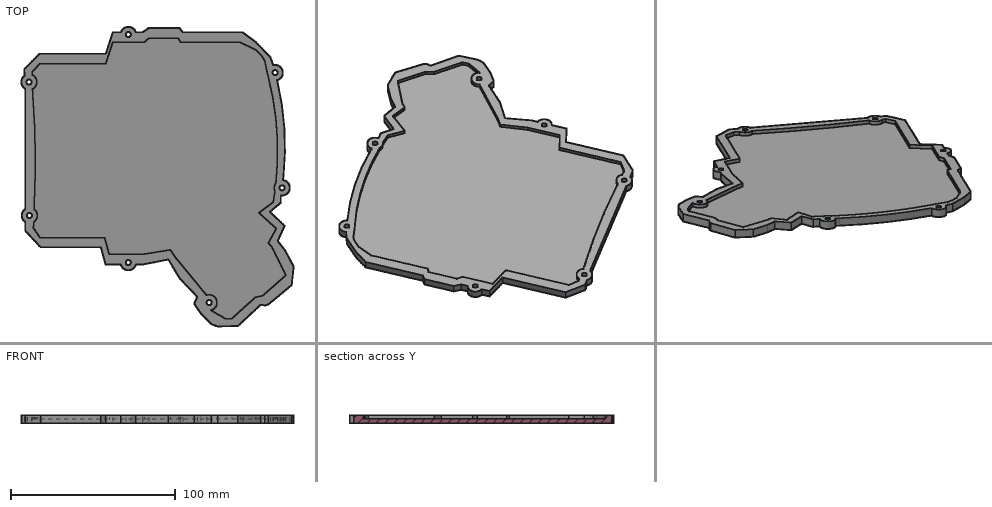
import cadquery as cq

plan_width = 165.67
plan_length = 182.23
thickness = 5.0
pocket_depth = 2.2
screw_hole_diameter = 3.0
lug_diameter = 9.5

left_end = -plan_width / 2
right_end = plan_width / 2
rear_end = plan_length / 2
front_end = -plan_length / 2
floor_thickness = thickness - pocket_depth

screw_points = [
    (-17.7, rear_end - lug_diameter / 2),
    (left_end + lug_diameter / 2, 57.5),
    (-77.8, -23.6),
    (-17.7, -52.2),
    (31.4, -76.5),
    (75.7, -6.8),
    (71.5, 63.2),
]

outer_rear_edge = [
    (-81.0, 65.3),
    (-71.6, 74.8),
    (-31.4, 74.8),
    (-27.2, 87.8),
    (-9.1, 87.8),
    (-5.3, 90.4),
    (13.4, 90.4),
    (15.3, 87.8),
    (51.7, 87.8),
    (59.4, 82.1),
    (68.6, 72.7),
    (70.9, 66.5),
    (72.8, 58.4),
]
outer_right_bow_middle = (77.0, 32.0)
outer_right_bow_end = (76.6, 0.0)
outer_notch = [
    (75.0, -11.0),
    (75.0, -15.8),
    (68.4, -21.4),
    (77.3, -29.9),
    (73.1, -39.1),
]
outer_front_right_arm = [
    (77.6, -44.8),
    (right_end, -54.7),
    (81.6, -65.9),
    (67.4, -77.7),
    (65.3, -78.4),
    (62.8, -77.8),
    (48.9, -90.8),
    (36.5, front_end),
    (32.7, -89.7),
    (26.4, -83.3),
    (22.2, -77.2),
    (24.1, -73.0),
    (13.4, -61.8),
    (6.6, -50.4),
]
outer_front_left_edge = [
    (-9.2, -53.5),
    (-31.6, -53.5),
    (-34.5, -42.9),
    (-71.1, -42.9),
    (-80.4, -32.9),
    (-80.4, 57.5),
    (-81.0, 63.5),
]

inner_rear_edge = [
    (-76.0, 63.8),
    (-71.7, 68.5),
    (-31.5, 68.5),
    (-27.2, 81.6),
    (-8.2, 81.6),
    (-5.2, 84.1),
    (12.7, 84.1),
    (14.0, 81.6),
    (50.3, 81.6),
    (59.7, 77.1),
    (63.1, 73.7),
    (65.2, 70.3),
    (66.7, 63.0),
]
inner_right_bow_middle = (72.7, 26.0)
inner_right_bow_end = (70.3, -15.5)
inner_notch = [
    (61.6, -22.0),
    (72.2, -31.5),
    (67.4, -40.3),
]
inner_front_right_arm = [
    (69.5, -42.7),
    (78.0, -59.9),
    (64.0, -72.3),
    (59.4, -73.4),
    (45.2, -86.2),
    (41.4, -86.4),
    (32.3, -81.1),
    (29.5, -71.7),
    (10.7, -48.8),
    (7.8, -44.5),
]
inner_front_left_edge = [
    (-8.5, -47.1),
    (-29.4, -47.1),
    (-32.1, -37.2),
    (-71.3, -37.2),
    (-75.4, -31.2),
    (-75.0, -20.0),
]
inner_left_bow_middle = (-74.2, 8.0)
inner_left_bow_end = (-76.0, 53.0)


def make_plate():
    """Full-thickness plate without its lugs."""
    return (
        cq.Workplane("XY")
        .polyline(outer_rear_edge)
        .threePointArc(outer_right_bow_middle, outer_right_bow_end)
        .polyline(outer_notch + outer_front_right_arm + outer_front_left_edge, includeCurrent=True)
        .close()
        .extrude(thickness)
    )


def make_pocket():
    """Recess inside the rim, open at the top."""
    return (
        cq.Workplane("XY")
        .workplane(offset=floor_thickness)
        .polyline(inner_rear_edge)
        .threePointArc(inner_right_bow_middle, inner_right_bow_end)
        .polyline(inner_notch + inner_front_right_arm + inner_front_left_edge, includeCurrent=True)
        .threePointArc(inner_left_bow_middle, inner_left_bow_end)
        .close()
        .extrude(pocket_depth)
    )


def make_screw_cylinders(diameter):
    """One full-height cylinder at each screw position."""
    return cq.Workplane("XY").pushPoints(screw_points).circle(diameter / 2).extrude(thickness)


rimmed_plate = make_plate().cut(make_pocket())
lugged_plate = rimmed_plate.union(make_screw_cylinders(lug_diameter))
result = lugged_plate.cut(make_screw_cylinders(screw_hole_diameter))